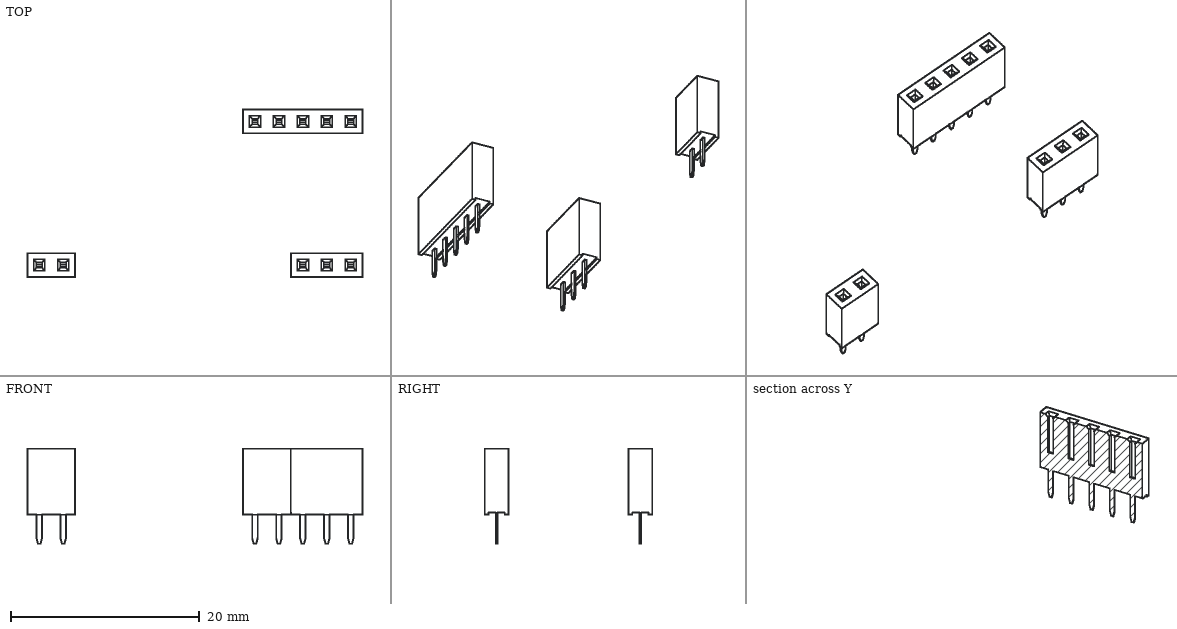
import cadquery as cq

TOTAL_LENGTH = 35.55
PITCHES_ALONG_X = 14
PITCHES_BETWEEN_ROWS = 6
PITCH = TOTAL_LENGTH / PITCHES_ALONG_X
ROW_SPACING = PITCHES_BETWEEN_ROWS * PITCH

HOUSING_DEPTH = PITCH
TOTAL_HEIGHT = 10.1
HOUSING_HEIGHT = 7.0
CHANNEL_WALL = 0.43
CHANNEL_HEIGHT = 0.2

MOUTH_SIZE = 1.2
THROAT_SIZE = 0.6
MOUTH_DEPTH = (MOUTH_SIZE - THROAT_SIZE) / 2
SOCKET_DEPTH = 4.98

PIN_WIDTH = THROAT_SIZE
PIN_THICKNESS = 0.2
PIN_LENGTH = TOTAL_HEIGHT - HOUSING_HEIGHT
TIP_WIDTH = 0.3
TIP_LENGTH = 0.6
PIN_RISE = 0.35

HEADERS = [
    (2, 0, 0),
    (3, 11, 0),
    (5, 9, ROW_SPACING),
]


def make_housing(contact_count):
    """Rectangular block standing on Z = 0 with a channel along its underside."""
    length = contact_count * PITCH
    block = cq.Workplane("XY").box(length, HOUSING_DEPTH, HOUSING_HEIGHT, centered=(False, True, False))
    channel = cq.Workplane("XY").box(
        length, HOUSING_DEPTH - 2 * CHANNEL_WALL, CHANNEL_HEIGHT, centered=(False, True, False)
    )
    return block.cut(channel)


def make_socket(x):
    """Square bore with a funnel-shaped mouth, centred at x."""
    bore = (
        cq.Workplane("XY", origin=(x, 0, HOUSING_HEIGHT))
        .rect(THROAT_SIZE, THROAT_SIZE)
        .extrude(-SOCKET_DEPTH)
    )
    mouth = (
        cq.Workplane("XY", origin=(x, 0, HOUSING_HEIGHT - MOUTH_DEPTH))
        .rect(THROAT_SIZE, THROAT_SIZE)
        .workplane(offset=MOUTH_DEPTH)
        .rect(MOUTH_SIZE, MOUTH_SIZE)
        .loft(ruled=True)
    )
    return bore.union(mouth)


def make_pin(x):
    """Flat blade centred at x, narrowing in width towards its lower tip."""
    top = HOUSING_HEIGHT - SOCKET_DEPTH + PIN_RISE
    shoulder = TIP_LENGTH - PIN_LENGTH
    outline = [
        (x - PIN_WIDTH / 2, top),
        (x - PIN_WIDTH / 2, shoulder),
        (x - TIP_WIDTH / 2, -PIN_LENGTH),
        (x + TIP_WIDTH / 2, -PIN_LENGTH),
        (x + PIN_WIDTH / 2, shoulder),
        (x + PIN_WIDTH / 2, top),
    ]
    return cq.Workplane("XZ").polyline(outline).close().extrude(PIN_THICKNESS / 2, both=True)


def make_header(contact_count):
    """Pin header socket with its left end at X = 0, pins moulded into the housing."""
    header = make_housing(contact_count)
    contact_places = [(index + 0.5) * PITCH for index in range(contact_count)]
    for x in contact_places:
        header = header.cut(make_socket(x))
    for x in contact_places:
        header = header.union(make_pin(x))
    return header


headers = [
    make_header(contact_count).translate((first_column * PITCH, centre_y, 0))
    for contact_count, first_column, centre_y in HEADERS
]

result = cq.Compound.makeCompound([header.val() for header in headers])